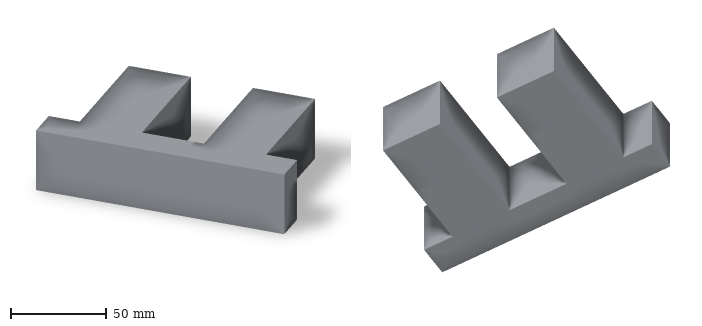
import cadquery as cq

base_length = 140.0
base_depth = 18.2
thickness = 35.0

total_depth = 88.0
leg_width = base_length / 4
leg_length = total_depth - base_depth
leg_gap = leg_width
leg_offset = (leg_width + leg_gap) / 2


def block(length, depth, center_x, front_y):
    """Full-thickness block centred on center_x, reaching back from front_y."""
    return (
        cq.Workplane("XY")
        .box(length, depth, thickness, centered=(True, False, False))
        .translate((center_x, front_y, 0))
    )


result = block(base_length, base_depth, 0, 0)
for side in (-1, 1):
    result = result.union(block(leg_width, leg_length, side * leg_offset, base_depth))